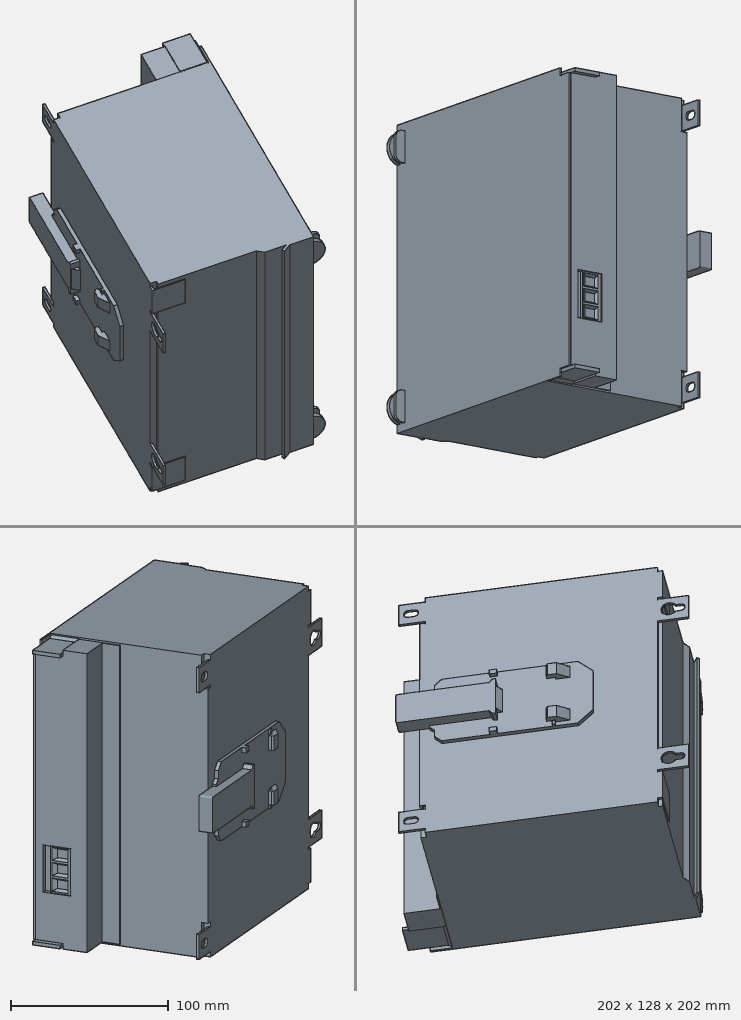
import cadquery as cq

HEIGHT = 202.0
LENGTH = 202.0
MID_Z = HEIGHT / 2
SHEET = 1.6

BODY_LEFT = 28.5
BODY_RIGHT = 184.5
FRONT_Y = 9.3
RELIEF_Y = 13.7
REAR_Y = 119.8
PLATE_LEFT = 32.1
PLATE_RIGHT = 181.8
BULGE_RIGHT = 187.7
COVER_RIGHT = 188.5
BULGE_START_Y = 81.8
BULGE_FULL_Y = 86.3
COVER_Y = 103.2

LIP_ROOT_Y = 101.0
LIP_TIP_INNER = (190.3, 97.0)
LIP_TIP_OUTER = (192.0, 98.0)

PANEL_LEFT = 4.5
PANEL_FULL_LEFT = 14.1
PANEL_THICKNESS = 1.5
PANEL_Y = REAR_Y - PANEL_THICKNESS

BLOCK_LEFT = 4.2
BLOCK_Y = 82.5
BLOCK_INSET = 1.2
STRIP_LEFT = 27.5
STRIP_Y = 70.3

BRACKET_Y = 99.2
BRACKET_DROP = 2.6
BRACKET_THICKNESS = 2.5
BRACKET_BEND = 26.0
BRACKET_END = 29.7

RECESS_Y = (94.0, 113.0)
RECESS_Z = (37.4, 68.9)
RECESS_DEPTH = 3.6
TERMINAL_WIDTH = 14.3
TERMINAL_SETBACK = 1.2
CELL_PITCH = 10.3
CELL_Y = 101.8
CELL_MOUTH = (11.3, 8.9)
CELL_FLOOR = (7.3, 5.9)
CELL_FLOOR_SHIFT = -1.0
CELL_DEPTH = RECESS_DEPTH - TERMINAL_SETBACK

LEFT_TAB_LEFT = 15.0
LEFT_TAB_OFFSET = 89.0
LEFT_TAB_HEIGHT = 16.8
LEFT_SLOT_X = 23.0
LEFT_SLOT = (9.5, 5.7)
UPPER_RELIEF = 1.6
LOWER_RELIEF = 3.2
RIGHT_TAB_OFFSET = 64.0
RIGHT_TAB_HEIGHT = 18.5
KEYHOLE_X = 189.3
KEYHOLE_DIAMETER = 10.0
KEYHOLE_SLOT_WIDTH = 5.5
KEYHOLE_END = 199.5

FLAP_RIGHT = 185.2
FLAP_OFFSET = 86.3
FLAP_HEIGHT = 22.6
FLAP_END_Y = 32.3

EAR_OFFSET = 85.0
EAR_WIDTH = 21.0
INNER_EAR_X = (180.0, 182.0)
INNER_EAR_Y = 126.9
INNER_EAR_RADIUS = 4.8
OUTER_EAR_X = (185.0, 188.0)
OUTER_EAR_Y = 128.0

CLIP_Y = 6.7
CLIP_HALF = 26.5
CLIP_RIGHT = 140.8
CLIP_CHAMFER = 9.7
CLIP_TOP_LEFT = 43.2
CLIP_LEFT = 38.5
CLIP_SHOULDER = (16.4, 21.8)
CLIP_NECK_LEFT = 35.4
CLIP_NECK_HALF = 13.5
TONGUE_LEFT = 15.0
TONGUE_RIGHT = 79.2
TONGUE_HALF = 12.1
TONGUE_RADIUS = 1.2
FLARE_HALF = 14.7
FLARE_START = 75.1
FLARE_FULL = 77.2
NOSE_RIGHT = 82.6
NOSE_HALF = 9.7
NOSE_Y = (0.8, 5.5)
POST_WIDTH = 3.5
WIDE_POST_X = (74.3, 79.2)
WIDE_POST_Y = 3.8
THIN_POST_X = (114.7, 116.5)
HOOK_LEFT = 111.3
HOOK_CHAMFER = 1.2
HOOK_TIP_RIGHT = 118.2
HOOK_NECK = 116.8
HOOK_RIGHT = 125.8
HOOK_Y = (1.6, 5.0)
HOOK_OFFSET = 18.4
HOOK_WIDTH = 9.5


def box(x_range, y_range, z_range):
    """Axis-aligned box from three (low, high) pairs."""
    sizes = [high - low for low, high in (x_range, y_range, z_range)]
    corner = (x_range[0], y_range[0], z_range[0])
    return cq.Workplane("XY").box(*sizes, centered=False).translate(corner)


def around(center, size):
    """Range of the given size around a centre."""
    return (center - size / 2, center + size / 2)


def prism_z(points, z_range):
    """Outline in X and Y extruded over a Z range."""
    plane = cq.Workplane("XY").workplane(offset=z_range[0])
    return plane.polyline(points).close().extrude(z_range[1] - z_range[0])


def prism_y(points, y_range):
    """Outline in X and Z extruded over a Y range."""
    plane = cq.Workplane("XZ", origin=(0, y_range[1], 0))
    return plane.polyline(points).close().extrude(y_range[1] - y_range[0])


def both_ends(upper):
    """Feature of the upper half together with its mirror image below the middle height."""
    return upper.union(upper.mirror("XY", (0, 0, MID_Z)))


def make_housing():
    outline = [
        (PLATE_LEFT, FRONT_Y),
        (PLATE_RIGHT, FRONT_Y),
        (PLATE_RIGHT, RELIEF_Y),
        (BODY_RIGHT, RELIEF_Y),
        (BODY_RIGHT, BULGE_START_Y),
        (BULGE_RIGHT, BULGE_FULL_Y),
        (BULGE_RIGHT, COVER_Y),
        (COVER_RIGHT, COVER_Y),
        (COVER_RIGHT, REAR_Y),
        (BODY_LEFT, REAR_Y),
        (BODY_LEFT, RELIEF_Y),
        (PLATE_LEFT, RELIEF_Y),
    ]
    housing = prism_z(outline, (0, HEIGHT))

    tab_edge = LEFT_TAB_OFFSET - LEFT_TAB_HEIGHT / 2
    wall_z = (MID_Z - tab_edge + LOWER_RELIEF, MID_Z + tab_edge - UPPER_RELIEF)
    wall = box((BODY_LEFT, BODY_LEFT + SHEET), (FRONT_Y, RELIEF_Y), wall_z)
    bend = box((BODY_LEFT, PLATE_LEFT), (FRONT_Y, FRONT_Y + SHEET), wall_z)
    return housing.union(wall).union(bend)


def make_rear_panel():
    full = box((PANEL_FULL_LEFT, BODY_LEFT), (PANEL_Y, REAR_Y), (0, HEIGHT))
    end_inset = BRACKET_DROP + BRACKET_THICKNESS
    end_z = (end_inset, HEIGHT - end_inset)
    end = box((PANEL_LEFT, BODY_LEFT), (PANEL_Y, REAR_Y), end_z)
    return full.union(end)


def make_side_lip():
    """Slanted lip along the outside of the right wall, over the full height."""
    outline = [
        (BULGE_RIGHT, COVER_Y),
        (COVER_RIGHT, COVER_Y),
        LIP_TIP_OUTER,
        LIP_TIP_INNER,
        (BULGE_RIGHT, LIP_ROOT_Y),
    ]
    return prism_z(outline, (0, HEIGHT))


def make_terminal_block():
    block_z = (BLOCK_INSET, HEIGHT - BLOCK_INSET)
    block = box((BLOCK_LEFT, BODY_LEFT), (BLOCK_Y, BRACKET_Y), block_z)
    lowered_z = (BRACKET_DROP, HEIGHT - BRACKET_DROP)
    block = block.union(box((BLOCK_LEFT, BODY_LEFT), (BRACKET_Y, PANEL_Y), lowered_z))
    strip = box((STRIP_LEFT, BODY_LEFT), (STRIP_Y, BLOCK_Y), block_z)
    return block.union(strip)


def make_brackets():
    top = HEIGHT - BRACKET_DROP
    outline = [
        (0, top - BRACKET_THICKNESS),
        (BRACKET_END, top - BRACKET_THICKNESS),
        (BRACKET_END, HEIGHT),
        (BRACKET_BEND, top),
        (0, top),
    ]
    return both_ends(prism_y(outline, (BRACKET_Y, PANEL_Y)))


def cut_terminals(part):
    recess_x = (BLOCK_LEFT, BLOCK_LEFT + RECESS_DEPTH)
    part = part.cut(box(recess_x, RECESS_Y, RECESS_Z))

    face_x = BLOCK_LEFT + TERMINAL_SETBACK
    terminal_y = (RECESS_Y[0], RECESS_Y[0] + TERMINAL_WIDTH)
    part = part.union(box((face_x, recess_x[1]), terminal_y, RECESS_Z))

    middle_z = sum(RECESS_Z) / 2
    for step in (-1, 0, 1):
        center = (face_x, CELL_Y, middle_z + step * CELL_PITCH)
        mouth = cq.Workplane("YZ", origin=center).rect(*CELL_MOUTH)
        floor = mouth.workplane(offset=CELL_DEPTH).center(CELL_FLOOR_SHIFT, 0).rect(*CELL_FLOOR)
        part = part.cut(floor.loft())
    return part


def make_left_tabs():
    tab_z = around(MID_Z + LEFT_TAB_OFFSET, LEFT_TAB_HEIGHT)
    tab = box((LEFT_TAB_LEFT, PLATE_LEFT), (FRONT_Y, FRONT_Y + SHEET), tab_z)
    slot_center = (LEFT_SLOT_X, FRONT_Y + SHEET, MID_Z + LEFT_TAB_OFFSET)
    slot = cq.Workplane("XZ", origin=slot_center).slot2D(*LEFT_SLOT).extrude(SHEET)
    return both_ends(tab.cut(slot))


def make_right_tabs():
    center_z = MID_Z + RIGHT_TAB_OFFSET
    tab_y = (FRONT_Y, FRONT_Y + SHEET)
    tab = box((PLATE_RIGHT, LENGTH), tab_y, around(center_z, RIGHT_TAB_HEIGHT))
    plane = cq.Workplane("XZ", origin=(KEYHOLE_X, tab_y[1], center_z))
    hole = plane.circle(KEYHOLE_DIAMETER / 2).extrude(SHEET)
    slot_length = KEYHOLE_END - KEYHOLE_X + KEYHOLE_SLOT_WIDTH / 2
    slot_shift = (slot_length - KEYHOLE_SLOT_WIDTH) / 2
    slot = plane.center(slot_shift, 0).slot2D(slot_length, KEYHOLE_SLOT_WIDTH).extrude(SHEET)
    return both_ends(tab.cut(hole).cut(slot))


def make_flaps():
    outline = [
        (PLATE_RIGHT, FRONT_Y),
        (FLAP_RIGHT, FRONT_Y),
        (FLAP_RIGHT, FLAP_END_Y),
        (BODY_RIGHT, FLAP_END_Y),
        (BODY_RIGHT, FRONT_Y + SHEET),
        (PLATE_RIGHT, FRONT_Y + SHEET),
    ]
    return both_ends(prism_z(outline, around(MID_Z + FLAP_OFFSET, FLAP_HEIGHT)))


def make_ears():
    center_z = MID_Z + EAR_OFFSET
    ear_z = around(center_z, EAR_WIDTH)
    inner = box(INNER_EAR_X, (REAR_Y, INNER_EAR_Y), ear_z)
    inner = inner.edges("|X and >Y").fillet(INNER_EAR_RADIUS)
    outer = (
        cq.Workplane("YZ", origin=(OUTER_EAR_X[0], 0, 0))
        .moveTo(REAR_Y, ear_z[0])
        .threePointArc((OUTER_EAR_Y, center_z), (REAR_Y, ear_z[1]))
        .close()
        .extrude(OUTER_EAR_X[1] - OUTER_EAR_X[0])
    )
    return both_ends(inner.union(outer))


def make_clip_plate():
    upper_half = [
        (CLIP_NECK_LEFT, MID_Z),
        (CLIP_NECK_LEFT, MID_Z + CLIP_NECK_HALF),
        (CLIP_LEFT, MID_Z + CLIP_SHOULDER[0]),
        (CLIP_LEFT, MID_Z + CLIP_SHOULDER[1]),
        (CLIP_TOP_LEFT, MID_Z + CLIP_HALF),
        (CLIP_RIGHT - CLIP_CHAMFER, MID_Z + CLIP_HALF),
        (CLIP_RIGHT, MID_Z + CLIP_HALF - CLIP_CHAMFER),
        (CLIP_RIGHT, MID_Z),
    ]
    return both_ends(prism_y(upper_half, (CLIP_Y, FRONT_Y)))


def make_clip_tongue():
    tongue_z = around(MID_Z, 2 * TONGUE_HALF)
    tongue = box((TONGUE_LEFT, TONGUE_RIGHT), (0, FRONT_Y), tongue_z)
    tongue = tongue.edges("|Y and <X").fillet(TONGUE_RADIUS)
    flare_half = [
        (FLARE_START, MID_Z),
        (FLARE_START, MID_Z + TONGUE_HALF),
        (FLARE_FULL, MID_Z + FLARE_HALF),
        (TONGUE_RIGHT, MID_Z + FLARE_HALF),
        (TONGUE_RIGHT, MID_Z),
    ]
    flare = both_ends(prism_y(flare_half, (0, CLIP_Y)))
    nose_outline = [
        (TONGUE_RIGHT, NOSE_Y[0]),
        (NOSE_RIGHT, NOSE_Y[1]),
        (TONGUE_RIGHT, NOSE_Y[1]),
    ]
    nose = prism_z(nose_outline, around(MID_Z, 2 * NOSE_HALF))
    return tongue.union(flare).union(nose)


def make_clip_hooks():
    outline = [
        (HOOK_LEFT, HOOK_Y[0] + HOOK_CHAMFER),
        (HOOK_LEFT + HOOK_CHAMFER, HOOK_Y[0]),
        (HOOK_TIP_RIGHT, HOOK_Y[0]),
        (HOOK_RIGHT, CLIP_Y),
        (HOOK_NECK, CLIP_Y),
        (HOOK_NECK, HOOK_Y[1]),
        (HOOK_LEFT, HOOK_Y[1]),
    ]
    hook = prism_z(outline, around(MID_Z + HOOK_OFFSET, HOOK_WIDTH))
    post_z = (MID_Z + CLIP_HALF - POST_WIDTH, MID_Z + CLIP_HALF)
    wide_post = box(WIDE_POST_X, (WIDE_POST_Y, CLIP_Y), post_z)
    thin_post = box(THIN_POST_X, (HOOK_Y[1], CLIP_Y), post_z)
    return both_ends(hook.union(wide_post).union(thin_post))


result = make_housing()
for feature in (
    make_rear_panel(),
    make_side_lip(),
    make_terminal_block(),
    make_brackets(),
    make_left_tabs(),
    make_right_tabs(),
    make_flaps(),
    make_ears(),
    make_clip_plate(),
    make_clip_tongue(),
    make_clip_hooks(),
):
    result = result.union(feature)
result = cut_terminals(result)